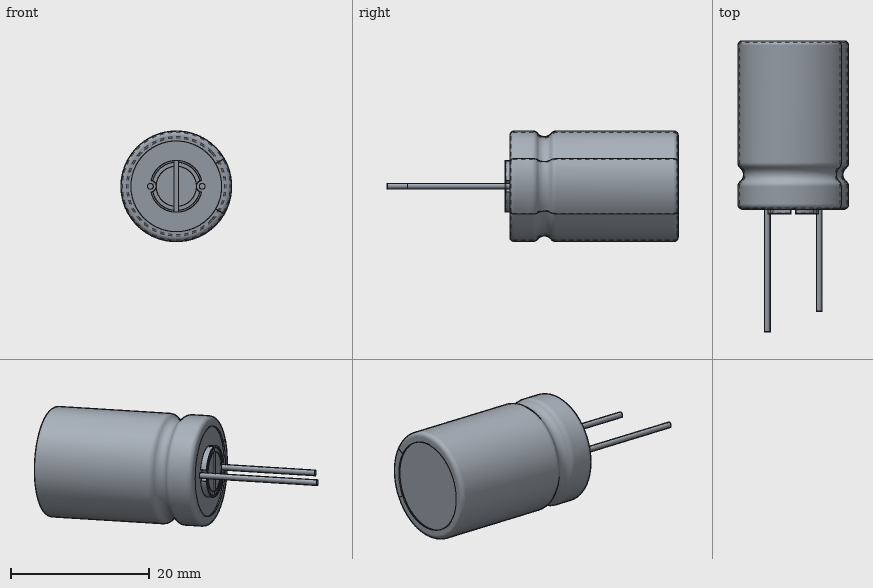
import cadquery as cq
import math

body_radius = 8.0
body_length = 24.3
front_fillet = 0.7
back_fillet = 0.67

groove_y = 5.0
groove_half_width = 1.72
groove_depth = 0.82
groove_radius = 1.25

sleeve_thickness = 0.2
opening_radius = 6.55
stripe_angle = 60.0

standoff_radius = 3.75
standoff_height = 0.67
standoff_inner_radius = 2.9
standoff_lip_width = 0.25
ring_recess = 0.13
slot_width = 0.67
notch_radius = 0.85

lead_radius = 0.4
lead_offset = 3.75
long_lead_end = -17.7
short_lead_end = -14.75


def cylinder(radius, y_start, y_end, x=0.0):
    """Cylinder parallel to Y, between two Y positions."""
    axis_start = cq.Vector(x, y_start, 0)
    return cq.Workplane(cq.Solid.makeCylinder(radius, y_end - y_start, axis_start, cq.Vector(0, 1, 0)))


def grooved_body(inset, angle=360.0):
    """Grooved cylinder whose whole skin is moved inward by inset, revolved about Y."""
    radius = body_radius - inset
    front = inset
    back = body_length - inset
    front_round = front_fillet - inset
    back_round = back_fillet - inset

    arc_sum = (groove_half_width**2 + groove_depth**2) / (2 * groove_depth)
    arc_angle = math.asin(groove_half_width / arc_sum)
    floor_arc = groove_radius + inset
    shoulder_arc = arc_sum - floor_arc
    shoulder_center = radius - shoulder_arc
    floor_radius = body_radius - groove_depth - inset

    def shoulder_point(side, turn):
        return (
            shoulder_center + shoulder_arc * math.cos(turn),
            groove_y + side * (groove_half_width - shoulder_arc * math.sin(turn)),
        )

    diagonal = 1 - math.sqrt(0.5)
    profile = (
        cq.Workplane("XY")
        .moveTo(0, front)
        .lineTo(radius - front_round, front)
        .threePointArc(
            (radius - diagonal * front_round, front + diagonal * front_round),
            (radius, front + front_round),
        )
        .lineTo(*shoulder_point(-1, 0))
        .threePointArc(shoulder_point(-1, arc_angle / 2), shoulder_point(-1, arc_angle))
        .threePointArc((floor_radius, groove_y), shoulder_point(1, arc_angle))
        .threePointArc(shoulder_point(1, arc_angle / 2), shoulder_point(1, 0))
        .lineTo(radius, back - back_round)
        .threePointArc(
            (radius - diagonal * back_round, back - diagonal * back_round),
            (radius - back_round, back),
        )
        .lineTo(0, back)
        .close()
    )
    return profile.revolve(angle, (0, 0, 0), (0, 1, 0))


def make_wrap(angle, start_angle):
    """Sector of the thin skin, open at both ends of the body."""
    skin = grooved_body(0.0, angle).cut(grooved_body(sleeve_thickness))
    skin = skin.cut(cylinder(opening_radius, 0, body_length))
    return skin.rotate((0, 0, 0), (0, 1, 0), start_angle)


def make_standoff():
    """Slotted disc with a recessed ring and clearance notches for the leads."""
    front = -standoff_height
    disc = cylinder(standoff_radius, front, sleeve_thickness)
    ring = cylinder(standoff_radius - standoff_lip_width, front, front + ring_recess)
    ring = ring.cut(cylinder(standoff_inner_radius, front, front + ring_recess))
    disc = disc.cut(ring)
    slot = cq.Workplane("XY").box(slot_width, standoff_height, 2 * standoff_radius)
    disc = disc.cut(slot.translate((0, front / 2, 0)))
    for x in (-lead_offset, lead_offset):
        disc = disc.cut(cylinder(notch_radius, front, sleeve_thickness, x))
    return disc


def make_core():
    """Capacitor body inside the sleeve, with the standoff on its front face."""
    return grooved_body(sleeve_thickness).union(make_standoff())


def make_lead(x, end):
    """Round lead that starts on the front face of the core."""
    return cylinder(lead_radius, end, sleeve_thickness, x)


core = make_core()
stripe = make_wrap(stripe_angle, -stripe_angle / 2)
sleeve = make_wrap(360.0 - stripe_angle, stripe_angle / 2)
lead_places = [(-lead_offset, long_lead_end), (lead_offset, short_lead_end)]
leads = [make_lead(x, end) for x, end in lead_places]

result = cq.Compound.makeCompound([
    core.solids().val(),
    stripe.solids().val(),
    sleeve.solids().val(),
    *[lead.val() for lead in leads],
])